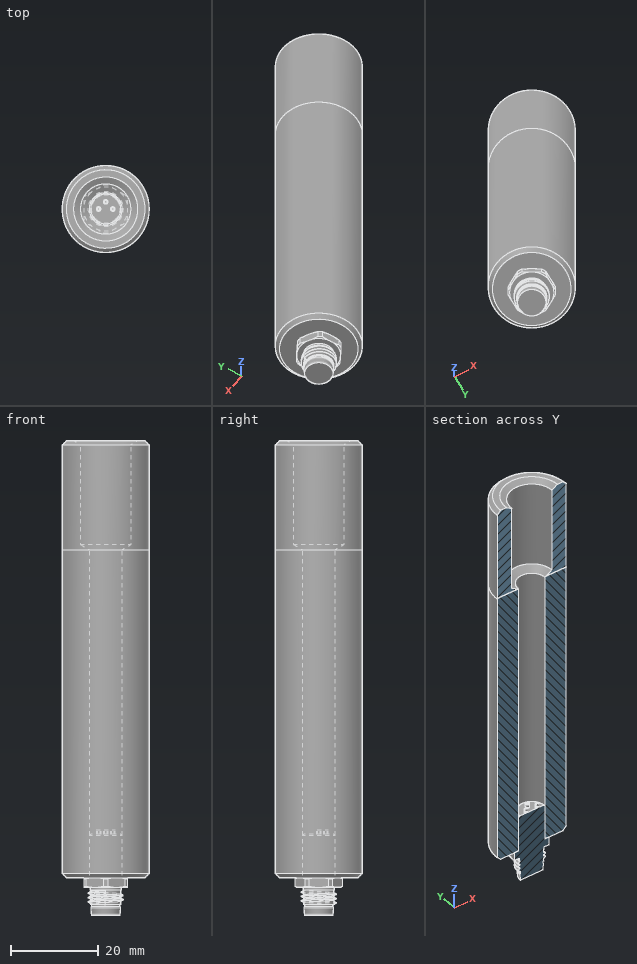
import cadquery as cq
import math

TOTAL_LENGTH = 108.5
BODY_DIAMETER = 20.0
CAP_LENGTH = 25.0
CONNECTOR_PROJECTION = 8.6
EDGE_CHAMFER = 1.0

SPLIT_Z = TOTAL_LENGTH - CAP_LENGTH
HOUSING_BOTTOM_Z = CONNECTOR_PROJECTION
HOUSING_LENGTH = SPLIT_Z - HOUSING_BOTTOM_Z

MOUTH_DIAMETER = 14.6
BORE_DIAMETER = 11.5
PASSAGE_DIAMETER = 7.5
CONE_INCLUDED_ANGLE = 118.0

INSERT_DEPTH = 10.0
INSERT_CHAMFER = 0.3
INSERT_TOP_Z = HOUSING_BOTTOM_Z + INSERT_DEPTH

CUP_DIAMETER = 1.05
CUP_BORE_DIAMETER = 0.6
CUP_HEIGHT = 1.0
CUP_OFFSET = 1.6
CUP_POSITIONS = [(-CUP_OFFSET, 0), (0, CUP_OFFSET), (CUP_OFFSET, 0)]

HEX_ACROSS_FLATS = 10.0
HEX_CORNER_DIAMETER = 11.0
HEX_THICKNESS = 2.2
HEX_EDGE_CHAMFER_WIDTH = 0.4
HEX_EDGE_CHAMFER_HEIGHT = 0.2
HEX_BOTTOM_Z = HOUSING_BOTTOM_Z - HEX_THICKNESS

CORE_DIAMETER = 6.9
CORE_BOTTOM_Z = 2.5
NECK_DIAMETER = 7.2
NECK_BOTTOM_Z = 5.8
THREAD_DIAMETER = 8.0
THREAD_PITCH = 1.0
THREAD_TURNS = 2.5
THREAD_START_Z = 2.8
THREAD_START_ANGLE = 90.0
THREAD_ROOT_WIDTH = 0.9
THREAD_CREST_WIDTH = 0.1
THREAD_EMBED = 0.1

GROOVE_DIAMETER = 6.5
GROOVE_BOTTOM_Z = 2.1
LIP_DIAMETER = 6.8
LIP_TOP_Z = 1.8
LIP_BOTTOM_Z = 1.5
NOSE_DIAMETER = 6.6
NOSE_BOTTOM_Z = 0.3
TIP_DIAMETER = 6.5


def make_cap():
    body = (
        cq.Workplane("XY", origin=(0, 0, SPLIT_Z))
        .circle(BODY_DIAMETER / 2)
        .extrude(CAP_LENGTH)
        .faces(">Z")
        .chamfer(EDGE_CHAMFER)
    )
    mouth_radius = MOUTH_DIAMETER / 2
    bore_radius = BORE_DIAMETER / 2
    passage_radius = PASSAGE_DIAMETER / 2
    rise_per_radius = 1 / math.tan(math.radians(CONE_INCLUDED_ANGLE / 2))
    bore_floor_z = SPLIT_Z + (bore_radius - passage_radius) * rise_per_radius
    bore_top_z = TOTAL_LENGTH - (mouth_radius - bore_radius) * rise_per_radius
    bore = (
        cq.Workplane("XZ")
        .moveTo(0, SPLIT_Z)
        .lineTo(passage_radius, SPLIT_Z)
        .lineTo(bore_radius, bore_floor_z)
        .lineTo(bore_radius, bore_top_z)
        .lineTo(mouth_radius, TOTAL_LENGTH)
        .lineTo(0, TOTAL_LENGTH)
        .close()
        .revolve(360, (0, 0, 0), (0, 1, 0))
    )
    return body.cut(bore)


def make_housing():
    body = (
        cq.Workplane("XY", origin=(0, 0, HOUSING_BOTTOM_Z))
        .circle(BODY_DIAMETER / 2)
        .extrude(HOUSING_LENGTH)
        .faces("<Z")
        .chamfer(EDGE_CHAMFER)
    )
    passage = (
        cq.Workplane("XY", origin=(0, 0, HOUSING_BOTTOM_Z))
        .circle(PASSAGE_DIAMETER / 2)
        .extrude(HOUSING_LENGTH)
    )
    return body.cut(passage)


def make_insert():
    return (
        cq.Workplane("XY", origin=(0, 0, HOUSING_BOTTOM_Z))
        .circle(PASSAGE_DIAMETER / 2)
        .extrude(INSERT_DEPTH)
        .faces(">Z")
        .chamfer(INSERT_CHAMFER)
    )


def make_solder_cups():
    return (
        cq.Workplane("XY", origin=(0, 0, INSERT_TOP_Z))
        .pushPoints(CUP_POSITIONS)
        .circle(CUP_DIAMETER / 2)
        .circle(CUP_BORE_DIAMETER / 2)
        .extrude(CUP_HEIGHT)
    )


def make_hexagon():
    hexagon = (
        cq.Workplane("XY", origin=(0, 0, HEX_BOTTOM_Z))
        .polygon(6, HEX_ACROSS_FLATS, circumscribed=True)
        .extrude(HEX_THICKNESS)
    )
    corner_limit = (
        cq.Workplane("XY", origin=(0, 0, HEX_BOTTOM_Z))
        .circle(HEX_CORNER_DIAMETER / 2)
        .extrude(HEX_THICKNESS)
        .edges("%CIRCLE")
        .chamfer(HEX_EDGE_CHAMFER_HEIGHT, HEX_EDGE_CHAMFER_WIDTH)
    )
    return hexagon.intersect(corner_limit)


def make_stem():
    core_radius = CORE_DIAMETER / 2
    groove_radius = GROOVE_DIAMETER / 2
    lip_radius = LIP_DIAMETER / 2
    neck_radius = NECK_DIAMETER / 2
    return (
        cq.Workplane("XZ")
        .moveTo(0, 0)
        .lineTo(TIP_DIAMETER / 2, 0)
        .lineTo(NOSE_DIAMETER / 2, NOSE_BOTTOM_Z)
        .lineTo(lip_radius, LIP_BOTTOM_Z)
        .lineTo(lip_radius, LIP_TOP_Z)
        .lineTo(groove_radius, GROOVE_BOTTOM_Z)
        .lineTo(groove_radius, CORE_BOTTOM_Z)
        .lineTo(core_radius, CORE_BOTTOM_Z)
        .lineTo(core_radius, NECK_BOTTOM_Z)
        .lineTo(neck_radius, NECK_BOTTOM_Z)
        .lineTo(neck_radius, HEX_BOTTOM_Z)
        .lineTo(0, HEX_BOTTOM_Z)
        .close()
        .revolve(360, (0, 0, 0), (0, 1, 0))
    )


def make_thread():
    base_radius = CORE_DIAMETER / 2 - THREAD_EMBED
    helix = cq.Wire.makeHelix(THREAD_PITCH, THREAD_PITCH * THREAD_TURNS, base_radius)
    ridge = (
        cq.Workplane("XZ")
        .moveTo(base_radius, -THREAD_ROOT_WIDTH / 2)
        .lineTo(THREAD_DIAMETER / 2, -THREAD_CREST_WIDTH / 2)
        .lineTo(THREAD_DIAMETER / 2, THREAD_CREST_WIDTH / 2)
        .lineTo(base_radius, THREAD_ROOT_WIDTH / 2)
        .close()
        .sweep(cq.Workplane(obj=helix), isFrenet=True)
    )
    turned_ridge = ridge.rotate((0, 0, 0), (0, 0, 1), THREAD_START_ANGLE)
    return turned_ridge.translate((0, 0, THREAD_START_Z))


def make_connector():
    return (
        make_stem()
        .union(make_thread())
        .union(make_hexagon())
        .union(make_insert())
        .union(make_solder_cups())
    )


cap = make_cap()
housing = make_housing()
connector = make_connector()

result = cq.Compound.makeCompound([body.solids().val() for body in (cap, housing, connector)])